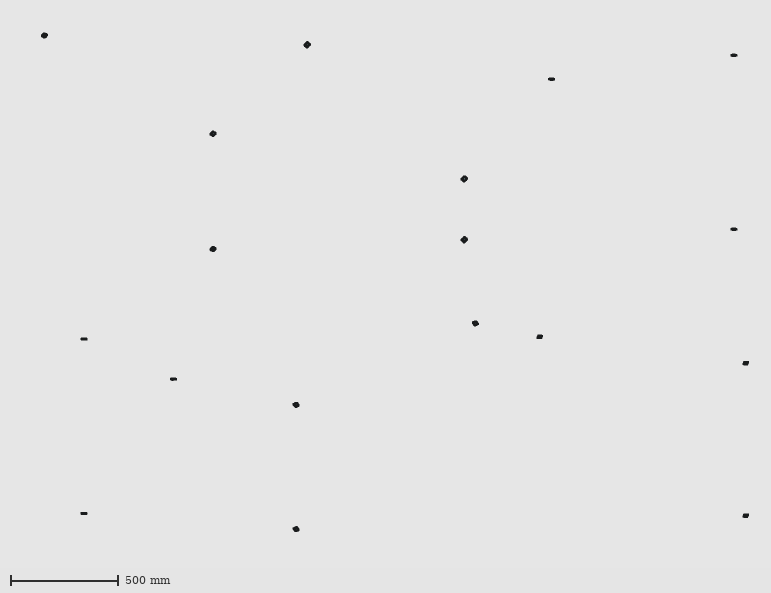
import cadquery as cq

span_x = 1006.0
span_z = 833.0

plate_width = 16.0
plate_depth = 19.0
plate_thickness = 1.5

offset_x = (span_x - plate_width) / 2
offset_z = (span_z - plate_thickness) / 2

plate_centres = [
    (-offset_x, 0, offset_z),
    (offset_x, 0, offset_z),
    (offset_x, 0, -offset_z),
]


def make_plate(centre):
    """A flat rectangular plate lying level, centred on the given point."""
    return cq.Workplane("XY").box(plate_width, plate_depth, plate_thickness).translate(centre)


plates = [make_plate(centre) for centre in plate_centres]

result = cq.Compound.makeCompound([plate.val() for plate in plates])